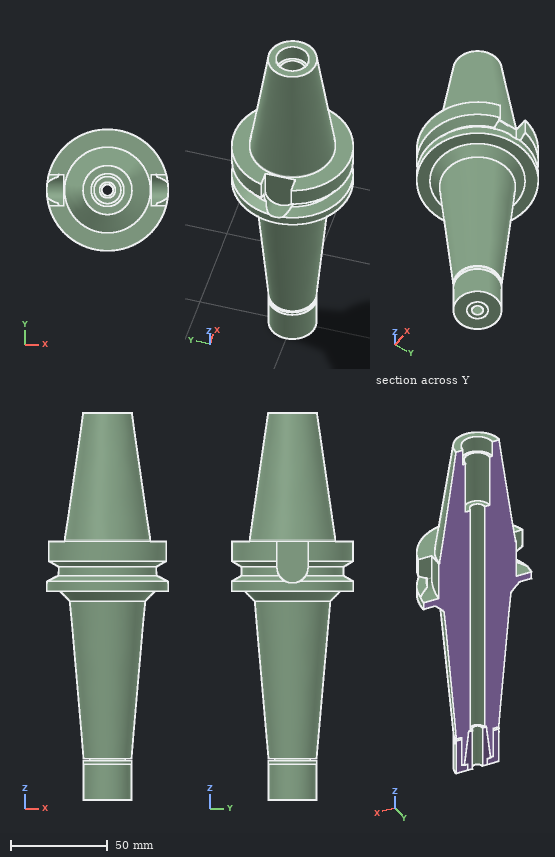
import cadquery as cq
import math


gauge_diameter = 44.45
shank_length = 65.4
shank_taper = 7 / 24
shank_top_diameter = gauge_diameter - shank_length * shank_taper

flange_diameter = 63.0
flange_top = -1.0
flange_bottom = -27.0
groove_diameter = 53.0
upper_rim_bottom = -11.3
groove_top = -14.3
groove_bottom = -18.8
lower_rim_top = -21.7

slot_width = 16.1
slot_floor = 22.6
slot_bottom = -22.6

neck_top = -32.0
neck_bottom = -113.6
neck_bottom_diameter = 25.0
neck_half_angle = 5.0
neck_length = neck_top - neck_bottom
neck_top_diameter = neck_bottom_diameter + 2 * neck_length * math.tan(math.radians(neck_half_angle))
cone_top_diameter = neck_top_diameter + 2 * (flange_bottom - neck_top)

nut_diameter = 25.0
nut_rim_diameter = 25.3
nut_top = -114.5
nut_rim_bottom = -116.4
nut_bottom = -135.0
nut_lip = 4.0
nose_diameter = 18.5
nose_bottom = nut_bottom + nut_lip

counterbore_diameter = 17.0
counterbore_depth = 9.0
thread_diameter = 14.0
thread_depth = 30.0
passage_diameter = 8.2

collet_top = -111.0
collet_top_diameter = 10.0
collet_mouth_diameter = 15.0
collet_front_diameter = 11.0
collet_bore_diameter = 5.8


def revolve_outline(points):
    """Solid of revolution about Z from (diameter, z) points."""
    outline = [(diameter / 2, z) for diameter, z in points]
    return cq.Workplane("YZ").polyline(outline).close().revolve(360, (0, 0, 0), (0, 1, 0))


def cylinder(diameter, top, bottom):
    return cq.Workplane("XY").workplane(offset=bottom).circle(diameter / 2).extrude(top - bottom)


def make_drive_slot(side):
    """Cutter for one drive slot: open at the flange top, round at the lower end."""
    radius = slot_width / 2
    round_centre = slot_bottom + radius
    return (
        cq.Workplane("YZ")
        .workplane(offset=side * slot_floor)
        .moveTo(-radius, flange_top)
        .lineTo(-radius, round_centre)
        .threePointArc((0, slot_bottom), (radius, round_centre))
        .lineTo(radius, flange_top)
        .close()
        .extrude(side * flange_diameter / 2)
    )


def make_collet_envelope():
    """Collet without its bore: a cone in the nose and a short front end in the nut lip."""
    return revolve_outline([
        (0, collet_top),
        (collet_top_diameter, collet_top),
        (collet_mouth_diameter, nose_bottom),
        (collet_front_diameter, nose_bottom),
        (collet_front_diameter, nut_bottom),
        (0, nut_bottom),
    ])


def make_holder():
    body = revolve_outline([
        (0, shank_length),
        (shank_top_diameter, shank_length),
        (gauge_diameter, 0),
        (gauge_diameter, flange_top),
        (flange_diameter, flange_top),
        (flange_diameter, upper_rim_bottom),
        (groove_diameter, groove_top),
        (groove_diameter, groove_bottom),
        (flange_diameter, lower_rim_top),
        (flange_diameter, flange_bottom),
        (cone_top_diameter, flange_bottom),
        (neck_top_diameter, neck_top),
        (neck_bottom_diameter, neck_bottom),
        (nose_diameter, neck_bottom),
        (nose_diameter, nose_bottom),
        (0, nose_bottom),
    ])
    for side in (-1, 1):
        body = body.cut(make_drive_slot(side))
    counterbore_floor = shank_length - counterbore_depth
    thread_floor = counterbore_floor - thread_depth
    body = body.cut(cylinder(counterbore_diameter, shank_length, counterbore_floor))
    body = body.cut(cylinder(thread_diameter, counterbore_floor, thread_floor))
    body = body.cut(cylinder(passage_diameter, thread_floor, collet_top))
    return body.cut(make_collet_envelope())


def make_nut():
    return revolve_outline([
        (nose_diameter, nut_top),
        (nut_rim_diameter, nut_top),
        (nut_rim_diameter, nut_rim_bottom),
        (nut_diameter, nut_rim_bottom),
        (nut_diameter, nut_bottom),
        (collet_front_diameter, nut_bottom),
        (collet_front_diameter, nose_bottom),
        (nose_diameter, nose_bottom),
    ])


def make_collet():
    return make_collet_envelope().cut(cylinder(collet_bore_diameter, collet_top, nut_bottom))


holder = make_holder()
nut = make_nut()
collet = make_collet()

result = cq.Compound.makeCompound([holder.val(), nut.val(), collet.val()])